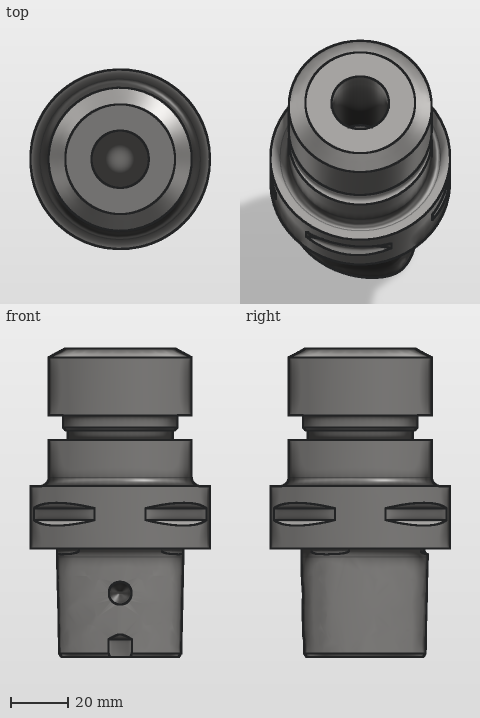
import cadquery as cq
import math

SHANK_TOP_RADIUS = 22.1
SHANK_END_RADIUS = 21.4
SHANK_TIP_RADIUS = 20.5
LOBE_HEIGHT = 1.5
TIP_CHAMFER_HEIGHT = 1.3
TAPER_TOP = 35.0
CURVE_POINTS = 48

UNDERCUT_RADIUS = 22.5
UNDERCUT_OUTER_RADIUS = 23.8
UNDERCUT_WALL_HEIGHT = 0.6
UNDERCUT_HEIGHT = 1.9

FLANGE_DIAMETER = 63.0
FLANGE_RADIUS = FLANGE_DIAMETER / 2
FLANGE_BOTTOM = 37.9
FLANGE_TOP = 59.8

COLLAR_RADIUS = 25.1
COLLAR_TOP = 76.0
COLLAR_FILLET = 3.0
NECK_RADIUS = 18.5
RING_RADIUS = 20.1
RING_BOTTOM = 79.3
RING_CHAMFER = 1.1
NUT_BOTTOM = 84.6
NUT_TOP = 108.0
NUT_CHAMFER_HEIGHT = 3.1
NUT_FACE_RADIUS = 19.2
BORE_RADIUS = 10.0
BORE_DEPTH = 43.2

GROOVE_CENTRE_Z = 50.0
GROOVE_FLOOR_WIDTH = 4.1
GROOVE_FLOOR_RADIUS = 27.6
GROOVE_FLARE = 1.9

DRILL_POINT_ANGLE = 118
HOLE_RADIUS = 4.0
HOLE_Z = 22.4
HOLE_MOUTH_Y = -SHANK_TOP_RADIUS
HOLE_DEPTH = 8.6
SLOT_RADIUS = 4.5
SLOT_AXIS_Y = -21.6
SLOT_DEPTH = 6.2


def lobed_wire(mean_radius, z):
    """Closed three-lobed curve whose width is 2 * mean_radius in every direction."""
    def point(turn):
        angle = 2 * math.pi * turn
        support = mean_radius - LOBE_HEIGHT * math.sin(3 * angle)
        slope = -3 * LOBE_HEIGHT * math.cos(3 * angle)
        return (
            support * math.cos(angle) - slope * math.sin(angle),
            support * math.sin(angle) + slope * math.cos(angle),
            z,
        )

    points = [cq.Vector(*point(i / CURVE_POINTS)) for i in range(CURVE_POINTS)]
    return cq.Wire.assembleEdges([cq.Edge.makeSpline(points, periodic=True)])


def shank_section(bottom_radius, bottom_z, top_radius, top_z):
    wires = [lobed_wire(bottom_radius, bottom_z), lobed_wire(top_radius, top_z)]
    return cq.Workplane(cq.Solid.makeLoft(wires, True))


def make_shank():
    tip = shank_section(SHANK_TIP_RADIUS, 0, SHANK_END_RADIUS, TIP_CHAMFER_HEIGHT)
    taper = shank_section(SHANK_END_RADIUS, TIP_CHAMFER_HEIGHT, SHANK_TOP_RADIUS, TAPER_TOP)
    root = shank_section(SHANK_TOP_RADIUS, TAPER_TOP, SHANK_TOP_RADIUS, FLANGE_BOTTOM)
    return tip.union(taper).union(root)


def make_undercut():
    """Ring cut with a straight wall and a concave lower corner."""
    corner_radius = UNDERCUT_HEIGHT - UNDERCUT_WALL_HEIGHT
    return (
        cq.Workplane("XZ")
        .moveTo(UNDERCUT_RADIUS, FLANGE_BOTTOM)
        .lineTo(UNDERCUT_OUTER_RADIUS, FLANGE_BOTTOM)
        .lineTo(UNDERCUT_OUTER_RADIUS, FLANGE_BOTTOM - UNDERCUT_HEIGHT)
        .radiusArc((UNDERCUT_RADIUS, FLANGE_BOTTOM - UNDERCUT_WALL_HEIGHT), corner_radius)
        .close()
        .revolve(360, (0, 0, 0), (0, 1, 0))
    )


def make_head():
    """Flange, collar, neck and nut as one turned profile with a blind bore."""
    fillet_middle = COLLAR_FILLET * (1 - math.sqrt(0.5))
    return (
        cq.Workplane("XZ")
        .moveTo(0, FLANGE_BOTTOM)
        .lineTo(FLANGE_RADIUS, FLANGE_BOTTOM)
        .lineTo(FLANGE_RADIUS, FLANGE_TOP)
        .lineTo(COLLAR_RADIUS + COLLAR_FILLET, FLANGE_TOP)
        .threePointArc(
            (COLLAR_RADIUS + fillet_middle, FLANGE_TOP + fillet_middle),
            (COLLAR_RADIUS, FLANGE_TOP + COLLAR_FILLET),
        )
        .lineTo(COLLAR_RADIUS, COLLAR_TOP)
        .lineTo(NECK_RADIUS, COLLAR_TOP)
        .lineTo(NECK_RADIUS, RING_BOTTOM)
        .lineTo(RING_RADIUS - RING_CHAMFER, RING_BOTTOM)
        .lineTo(RING_RADIUS, RING_BOTTOM + RING_CHAMFER)
        .lineTo(RING_RADIUS, NUT_BOTTOM)
        .lineTo(COLLAR_RADIUS, NUT_BOTTOM)
        .lineTo(COLLAR_RADIUS, NUT_TOP - NUT_CHAMFER_HEIGHT)
        .lineTo(NUT_FACE_RADIUS, NUT_TOP)
        .lineTo(BORE_RADIUS, NUT_TOP)
        .lineTo(BORE_RADIUS, NUT_TOP - BORE_DEPTH)
        .lineTo(0, NUT_TOP - BORE_DEPTH)
        .close()
        .revolve(360, (0, 0, 0), (0, 1, 0))
    )


def make_gripper_groove(angle):
    """Straight groove with a flat floor and flared sides, turned about Z."""
    floor_half = GROOVE_FLOOR_WIDTH / 2
    mouth_half = floor_half + GROOVE_FLARE
    return (
        cq.Workplane("XZ")
        .moveTo(GROOVE_FLOOR_RADIUS, GROOVE_CENTRE_Z - floor_half)
        .lineTo(FLANGE_RADIUS, GROOVE_CENTRE_Z - mouth_half)
        .lineTo(FLANGE_RADIUS, GROOVE_CENTRE_Z + mouth_half)
        .lineTo(GROOVE_FLOOR_RADIUS, GROOVE_CENTRE_Z + floor_half)
        .close()
        .extrude(FLANGE_RADIUS, both=True)
        .rotate((0, 0, 0), (0, 0, 1), angle)
    )


def drilled_hole(radius, depth):
    """Drill shape starting at the origin along +Z, with a conical point beyond its depth."""
    point_height = radius / math.tan(math.radians(DRILL_POINT_ANGLE / 2))
    return (
        cq.Workplane("XZ")
        .lineTo(radius, 0)
        .lineTo(radius, depth)
        .lineTo(0, depth + point_height)
        .close()
        .revolve(360, (0, 0, 0), (0, 1, 0))
    )


def make_side_hole():
    """Blind hole drilled in the +Y direction."""
    along_y = drilled_hole(HOLE_RADIUS, HOLE_DEPTH).rotate((0, 0, 0), (1, 0, 0), -90)
    return along_y.translate((0, HOLE_MOUTH_Y, HOLE_Z))


def make_key_slot():
    """Round-backed slot drilled upward from the shank tip."""
    return drilled_hole(SLOT_RADIUS, SLOT_DEPTH).translate((0, SLOT_AXIS_Y, 0))


shank = make_shank().cut(make_undercut()).cut(make_side_hole()).cut(make_key_slot())
result = make_head().union(shank)
for groove_angle in (45, 135, 225, 315):
    result = result.cut(make_gripper_groove(groove_angle))